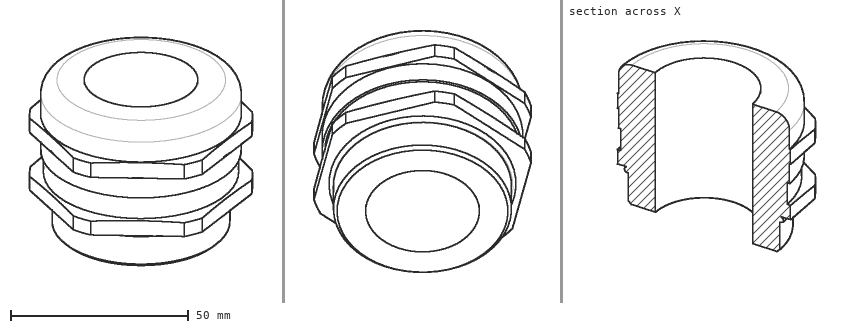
import cadquery as cq
import math

total_height = 46.5
bore_radius = 16.0

across_flats = 57.0
collar_radius = 31.4
collar_cone_angle = 8.0
lower_collar_bottom = 12.0
lower_collar_top = 16.95
upper_collar_bottom = 30.45
upper_collar_top = 35.5

thread_radius = 25.05
thread_chamfer = 1.0
neck_radius = 27.5
cap_radius = 28.25
cap_bottom = 24.0
cap_fillet = 4.5

ring_outer_radius = 26.3
ring_thickness = 1.9


def cylinder(radius, bottom, top):
    return cq.Workplane("XY").workplane(offset=bottom).circle(radius).extrude(top - bottom)


def collar(bottom, top, cone_start_radius):
    """Hexagon with turned corners and a shallow cone rising to cone_start_radius."""
    corner_diameter = across_flats / math.cos(math.radians(30))
    prism = cq.Workplane("XY").workplane(offset=bottom).polygon(6, corner_diameter).extrude(top - bottom)
    cone_drop = (collar_radius - cone_start_radius) * math.tan(math.radians(collar_cone_angle))
    envelope = (
        cq.Workplane("XZ")
        .moveTo(0, bottom)
        .lineTo(collar_radius, bottom)
        .lineTo(collar_radius, top - cone_drop)
        .lineTo(cone_start_radius, top)
        .lineTo(0, top)
        .close()
        .revolve(360, (0, 0, 0), (0, 1, 0))
    )
    return prism.intersect(envelope)


def sealing_ring():
    """Ring with a fully rounded outer edge."""
    ring_radius = ring_thickness / 2
    ring_bottom = lower_collar_bottom - ring_thickness
    straight_radius = ring_outer_radius - ring_radius
    return (
        cq.Workplane("XZ")
        .moveTo(0, ring_bottom)
        .lineTo(straight_radius, ring_bottom)
        .threePointArc((ring_outer_radius, ring_bottom + ring_radius), (straight_radius, lower_collar_bottom))
        .lineTo(0, lower_collar_bottom)
        .close()
        .revolve(360, (0, 0, 0), (0, 1, 0))
    )


thread = cylinder(thread_radius, 0, lower_collar_bottom).faces("<Z").chamfer(thread_chamfer)
neck = cylinder(neck_radius, lower_collar_bottom, cap_bottom)
cap = cylinder(cap_radius, cap_bottom, total_height).faces(">Z").edges().fillet(cap_fillet)

body = thread.union(sealing_ring()).union(neck).union(cap)
body = body.union(collar(lower_collar_bottom, lower_collar_top, neck_radius))
body = body.union(collar(upper_collar_bottom, upper_collar_top, cap_radius))

result = body.cut(cylinder(bore_radius, 0, total_height))